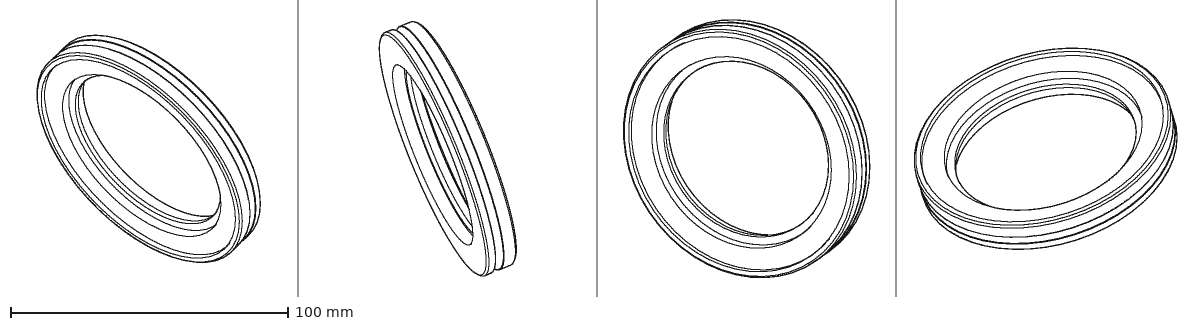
import cadquery as cq
import math

outer_diameter = 95.0
width = 12.0
bore_diameter = 67.2
front_counterbore_diameter = 73.2
front_counterbore_depth = 3.5
back_counterbore_diameter = 70.1
back_counterbore_depth = 4.75
face_recess_diameter = 89.9
face_recess_depth = 2.0
edge_chamfer = 0.8
groove_radius = 1.5
groove_from_front = 6.9
groove_edge_chamfer = 0.2

front_y = -width / 2
back_y = width / 2


def disc(diameter, start_y, length):
    """Solid disc on the Y axis, extending from start_y toward +Y."""
    plane = cq.Workplane("XZ", origin=(0, start_y, 0))
    return plane.circle(diameter / 2).extrude(-length)


body = disc(outer_diameter, front_y, width).edges().chamfer(edge_chamfer)

body = body.cut(disc(bore_diameter, front_y, width))
body = body.cut(disc(face_recess_diameter, front_y, face_recess_depth))
front_counterbore_floor = face_recess_depth + front_counterbore_depth
body = body.cut(disc(front_counterbore_diameter, front_y, front_counterbore_floor))
body = body.cut(disc(back_counterbore_diameter, back_y - back_counterbore_depth, back_counterbore_depth))

rim_radius = outer_diameter / 2
groove_y = front_y + groove_from_front
chamfer_radius = rim_radius - groove_edge_chamfer
arc_half_width = math.sqrt(groove_radius**2 - groove_edge_chamfer**2)
mouth_half_width = groove_radius + groove_edge_chamfer
groove = (
    cq.Workplane("XY")
    .moveTo(rim_radius, groove_y - mouth_half_width)
    .lineTo(chamfer_radius, groove_y - arc_half_width)
    .threePointArc((rim_radius - groove_radius, groove_y), (chamfer_radius, groove_y + arc_half_width))
    .lineTo(rim_radius, groove_y + mouth_half_width)
    .close()
    .revolve(360, (0, 0), (0, 1))
)
result = body.cut(groove)